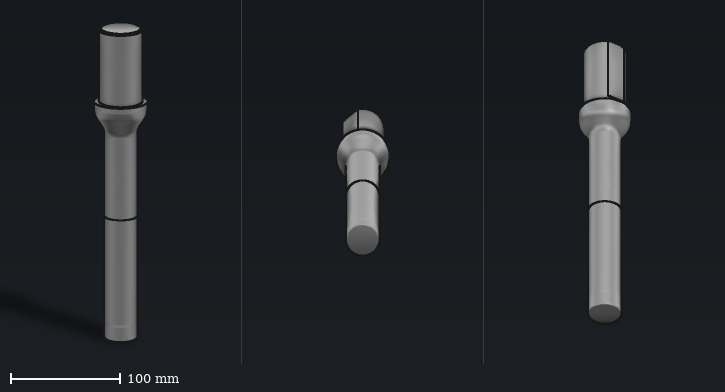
import cadquery as cq

CUTTING_TOP = 14.5
RELIEF_BOTTOM = 17.0
CUTTER_TOP = 117.5
NECK_BOTTOM = 191.3
FLARE_BOTTOM = 196.5
COLLAR_BOTTOM = 221.5
COLLAR_TOP = 227.2
TOTAL_LENGTH = 297.0

CUTTING_DIAMETER = 31.2
BODY_DIAMETER = 31.0
NECK_DIAMETER = 31.2
COLLAR_DIAMETER = 49.5
SHANK_DIAMETER = 40.0

TIP_DOME_HEIGHT = 0.5

RIM_RADIUS = 1.5
SHANK_CHAMFER = 1.5

FLARE_LOWER_RADIUS = 16.5
FLARE_LOWER_Z = 201.5
FLARE_UPPER_RADIUS = 20.8
FLARE_UPPER_Z = 208.5

FLAT_DISTANCE = 17.8
FLAT_BOTTOM = 234.0
RUNOUT_SLOPE = 1.4

cutting_radius = CUTTING_DIAMETER / 2
body_radius = BODY_DIAMETER / 2
neck_radius = NECK_DIAMETER / 2
collar_radius = COLLAR_DIAMETER / 2
shank_radius = SHANK_DIAMETER / 2


def make_cutter():
    """Cutting end: a domed tip with a rounded rim, slightly larger than the body behind it."""
    return (
        cq.Workplane("XZ")
        .threePointArc((cutting_radius / 2, TIP_DOME_HEIGHT / 4), (cutting_radius, TIP_DOME_HEIGHT))
        .lineTo(cutting_radius, CUTTING_TOP)
        .lineTo(body_radius, RELIEF_BOTTOM)
        .lineTo(body_radius, CUTTER_TOP)
        .lineTo(0, CUTTER_TOP)
        .close()
        .revolve(360, (0, 0, 0), (0, 1, 0))
        .faces("<Z")
        .edges("%CIRCLE")
        .fillet(RIM_RADIUS)
    )


def make_turned_holder():
    """Slightly tapered body, neck, S-shaped flare, collar and chamfered shank."""
    return (
        cq.Workplane("XZ")
        .moveTo(0, CUTTER_TOP)
        .lineTo(body_radius, CUTTER_TOP)
        .lineTo(neck_radius, NECK_BOTTOM)
        .lineTo(neck_radius, FLARE_BOTTOM)
        .spline(
            [
                (FLARE_LOWER_RADIUS, FLARE_LOWER_Z),
                (FLARE_UPPER_RADIUS, FLARE_UPPER_Z),
                (collar_radius, COLLAR_BOTTOM),
            ],
            tangents=[(0, 1), (0, 1)],
            includeCurrent=True,
        )
        .lineTo(collar_radius, COLLAR_TOP)
        .lineTo(shank_radius, COLLAR_TOP)
        .lineTo(shank_radius, TOTAL_LENGTH - SHANK_CHAMFER)
        .lineTo(shank_radius - SHANK_CHAMFER, TOTAL_LENGTH)
        .lineTo(0, TOTAL_LENGTH)
        .close()
        .revolve(360, (0, 0, 0), (0, 1, 0))
    )


def make_flat_cut():
    """Material removed beyond the shank flat, with its sloped lower end."""
    flat_depth = shank_radius - FLAT_DISTANCE
    runout_bottom = FLAT_BOTTOM - RUNOUT_SLOPE * flat_depth
    return (
        cq.Workplane("YZ")
        .moveTo(FLAT_DISTANCE, TOTAL_LENGTH)
        .lineTo(FLAT_DISTANCE, FLAT_BOTTOM)
        .lineTo(shank_radius, runout_bottom)
        .lineTo(shank_radius, TOTAL_LENGTH)
        .close()
        .extrude(shank_radius, both=True)
    )


cutter = make_cutter()
holder = make_turned_holder().cut(make_flat_cut())

result = cq.Compound.makeCompound([cutter.val(), holder.val()])